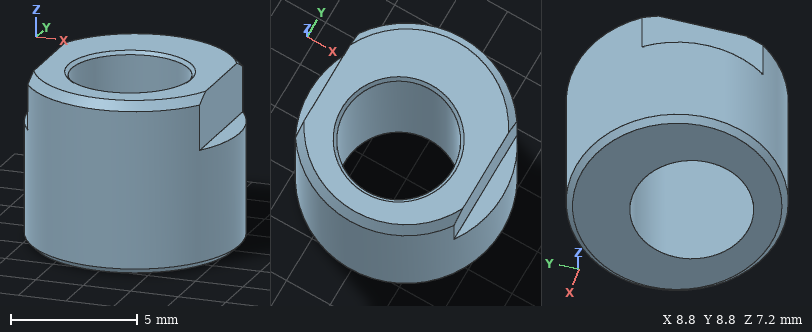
import cadquery as cq

outer_diameter = 8.8
height = 7.2
top_chamfer = 0.35
bottom_chamfer = 0.255

across_flats = 7.25
flat_height = 2.25

bore_diameter = 4.9
bore_offset = 0.6
bore_chamfer = 0.14


def make_body():
    """Cylinder standing on Z = 0, chamfered at both ends."""
    body = cq.Workplane("XY").circle(outer_diameter / 2).extrude(height)
    body = body.faces(">Z").chamfer(top_chamfer)
    return body.faces("<Z").chamfer(bottom_chamfer)


def make_flat_cut(side):
    """Block that cuts one wrench flat; side is -1 for -X or +1 for +X."""
    block_width = outer_diameter / 2
    block_center = side * (across_flats + block_width) / 2
    return (
        cq.Workplane("XY", origin=(block_center, 0, height - flat_height))
        .rect(block_width, outer_diameter)
        .extrude(flat_height)
    )


def make_bore():
    """Through bore with a 45 degree lead-in at the top."""
    bore_radius = bore_diameter / 2
    bore = cq.Workplane("XY", origin=(0, -bore_offset, 0)).circle(bore_radius).extrude(height)
    return bore.union(
        cq.Workplane("XY", origin=(0, -bore_offset, height))
        .circle(bore_radius + bore_chamfer)
        .workplane(offset=-bore_chamfer)
        .circle(bore_radius)
        .loft()
    )


result = make_body()
for side in (-1, 1):
    result = result.cut(make_flat_cut(side))
result = result.cut(make_bore())